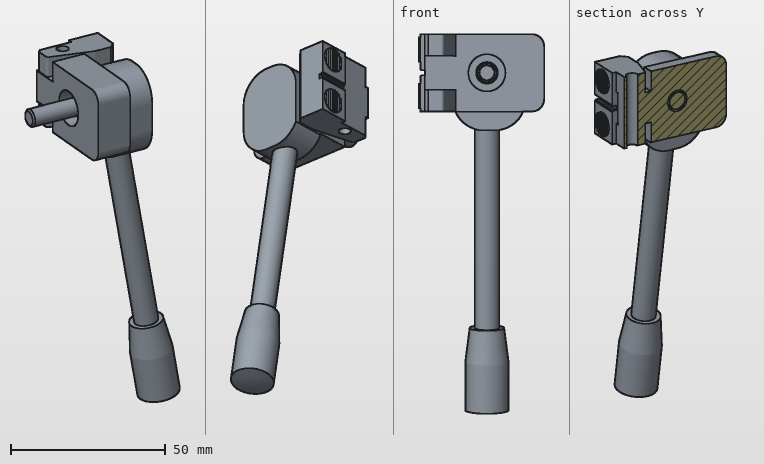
import cadquery as cq
import math


body_left = -20.0
body_right = 18.5
body_depth = 12.0
body_height = 25.0
body_corner_radius = 4.0
tongue_length = 10.0
tongue_height = 11.0
bore_diameter = 7.0
counterbore_diameter = 12.0
counterbore_depth = 5.0

pin_diameter = 6.0
pin_reach = 15.0
pin_chamfer = 0.6

cam_depth = 12.0
cam_radius = 10.0
cam_right_center_x = 2.5
cam_upper_center_z = 1.0
cam_bottom = -18.6
cam_lower_left_center_x = -1.0

jaw_left = -21.5
jaw_front = 0.25
jaw_back = body_depth + cam_depth
jaw_step_y = 13.0
jaw_back_chamfer = 2.0
jaw_front_chamfer = 1.0
jaw_taper_start_y = 16.0
jaw_toe_right = -14.0
jaw_toe_radius = 1.0
pivot_x = -17.0
pivot_y = 8.0
pivot_diameter = 4.0
jaw_groove_width = 1.5
jaw_groove_chamfer = 0.4

pad_diameter = 8.0
pad_y = 19.0
pad_offset_z = 7.5
rib_pitch = 1.0
rib_height = 0.5

handle_tilt = 10.0
handle_y = body_depth + cam_depth / 2
rod_diameter = 8.0
rod_embedded_length = 8.0
rod_length = 64.7
knob_diameter = 14.0
knob_neck_diameter = 11.2
knob_cone_length = 11.0
knob_grip_length = 15.94
knob_dome_height = 0.7


def y_cylinder(diameter, y_start, y_end):
    """Cylinder about the pin axis between two Y positions."""
    plane = cq.Workplane("XZ", origin=(0, y_start, 0))
    return plane.circle(diameter / 2).extrude(y_start - y_end)


def make_body():
    length = body_right - body_left
    body = cq.Workplane("XY").box(length, body_depth, body_height, centered=(False, False, True))
    body = body.translate((body_left, 0, 0)).edges("|Y and >X").fillet(body_corner_radius)
    notch_height = (body_height - tongue_height) / 2
    for side in (-1, 1):
        notch = cq.Workplane("XY").box(tongue_length, body_depth, notch_height)
        notch_z = side * (tongue_height + notch_height) / 2
        body = body.cut(notch.translate((body_left + tongue_length / 2, body_depth / 2, notch_z)))
    body = body.cut(y_cylinder(bore_diameter, 0, body_depth))
    return body.cut(y_cylinder(counterbore_diameter, 0, counterbore_depth))


def make_pin():
    pin = y_cylinder(pin_diameter, -pin_reach, body_depth + cam_depth / 2)
    return pin.faces("<Y").chamfer(pin_chamfer)


def make_cam():
    left = -cam_radius
    right = cam_right_center_x + cam_radius
    diagonal = cam_radius * math.sqrt(0.5)
    top = cam_upper_center_z + cam_radius
    lower_center_z = cam_bottom + cam_radius
    reach = cam_lower_left_center_x - left
    drop = math.sqrt(cam_radius**2 - reach**2)
    half_angle = math.atan2(drop, reach) / 2 + math.pi / 4
    arc_mid = (
        cam_lower_left_center_x - cam_radius * math.cos(half_angle),
        lower_center_z - cam_radius * math.sin(half_angle),
    )
    outline = (
        cq.Workplane("XZ", origin=(0, body_depth, 0))
        .moveTo(left, cam_upper_center_z)
        .threePointArc((-diagonal, cam_upper_center_z + diagonal), (0, top))
        .lineTo(cam_right_center_x, top)
        .threePointArc(
            (cam_right_center_x + diagonal, cam_upper_center_z + diagonal),
            (right, cam_upper_center_z),
        )
        .lineTo(right, lower_center_z)
        .threePointArc(
            (cam_right_center_x + diagonal, lower_center_z - diagonal),
            (cam_right_center_x, cam_bottom),
        )
        .lineTo(cam_lower_left_center_x, cam_bottom)
        .threePointArc(arc_mid, (left, lower_center_z - drop))
        .close()
    )
    return outline.extrude(-cam_depth)


def make_jaw():
    jaw_right = body_left + tongue_length
    outline = [
        (jaw_left, jaw_back),
        (jaw_right - jaw_back_chamfer, jaw_back),
        (jaw_right, jaw_back - jaw_back_chamfer),
        (jaw_right, jaw_taper_start_y),
        (jaw_toe_right, jaw_front),
        (body_left, jaw_front),
        (body_left, jaw_step_y),
        (jaw_left, jaw_step_y),
    ]
    jaw = cq.Workplane("XY").polyline(outline).close().extrude(body_height / 2, both=True)
    toe_edge = cq.selectors.NearestToPointSelector((jaw_toe_right, jaw_front, 0))
    jaw = jaw.edges(toe_edge).fillet(jaw_toe_radius)
    heel_edge = cq.selectors.NearestToPointSelector((body_left, jaw_front, 0))
    jaw = jaw.edges(heel_edge).chamfer(jaw_front_chamfer)

    slot_width = jaw_right - jaw_left
    slot = cq.Workplane("XY").box(slot_width, jaw_step_y, tongue_height, centered=(False, False, True))
    jaw = jaw.cut(slot.translate((jaw_left, 0, 0)))
    return jaw.cut(make_jaw_groove())


def make_jaw_groove():
    """Groove with chamfered edges that splits the raised step of the jaw in two."""
    half_width = jaw_groove_width / 2
    half_mouth = half_width + jaw_groove_chamfer
    outline = [
        (jaw_left, half_mouth),
        (jaw_left + jaw_groove_chamfer, half_width),
        (body_left, half_width),
        (body_left, -half_width),
        (jaw_left + jaw_groove_chamfer, -half_width),
        (jaw_left, -half_mouth),
    ]
    groove = cq.Workplane("XZ", origin=(0, jaw_back, 0)).polyline(outline).close()
    return groove.extrude(jaw_back - jaw_step_y)


def make_pad(z):
    """Round pad of V-shaped ribs standing on the left face of the jaw."""
    first_y = pad_y - pad_diameter / 2
    outline = [(jaw_left + rib_height, first_y), (jaw_left, first_y)]
    for rib in range(round(pad_diameter / rib_pitch)):
        valley_y = first_y + rib * rib_pitch
        outline.append((jaw_left - rib_height, valley_y + rib_pitch / 2))
        outline.append((jaw_left, valley_y + rib_pitch))
    outline.append((jaw_left + rib_height, first_y + pad_diameter))
    ribs = cq.Workplane("XY").polyline(outline).close().extrude(pad_diameter / 2, both=True)
    disc = cq.Workplane("YZ", origin=(jaw_left - rib_height, pad_y, 0))
    disc = disc.circle(pad_diameter / 2).extrude(2 * rib_height)
    return ribs.intersect(disc).translate((0, 0, z))


def make_handle():
    """Rod and domed knob, turned about an axis leaning back from the underside of the cam."""
    root = rod_embedded_length
    cone_end = -rod_length - knob_cone_length
    grip_end = cone_end - knob_grip_length
    tip = grip_end - knob_dome_height
    grip_radius = knob_diameter / 2
    dome_radius = (grip_radius**2 + knob_dome_height**2) / (2 * knob_dome_height)
    dome_center = tip + dome_radius
    dome_mid_x = grip_radius / 2
    dome_mid_z = dome_center - math.sqrt(dome_radius**2 - dome_mid_x**2)
    handle = (
        cq.Workplane("XZ")
        .moveTo(0, root)
        .lineTo(rod_diameter / 2, root)
        .lineTo(rod_diameter / 2, -rod_length)
        .lineTo(knob_neck_diameter / 2, -rod_length)
        .lineTo(grip_radius, cone_end)
        .lineTo(grip_radius, grip_end)
        .threePointArc((dome_mid_x, dome_mid_z), (0, tip))
        .close()
        .revolve(360, (0, 0, 0), (0, 1, 0))
    )
    handle = handle.rotate((0, 0, 0), (1, 0, 0), handle_tilt)
    return handle.translate((0, handle_y, cam_bottom))


result = make_body().union(make_jaw())
pivot_hole = cq.Workplane("XY").center(pivot_x, pivot_y).circle(pivot_diameter / 2)
result = result.cut(pivot_hole.extrude(body_height / 2, both=True))
for pad_z in (-pad_offset_z, pad_offset_z):
    result = result.union(make_pad(pad_z))
result = result.union(make_cam()).union(make_pin()).union(make_handle())